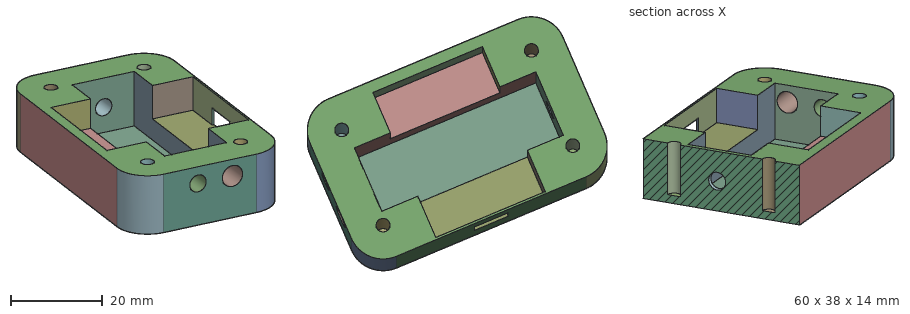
import cadquery as cq

length = 60.0
width = 38.0
height = 14.0
corner_radius = 7.5

screw_diameter = 3.0
screw_depth = 12.0

channel_length = 43.0
channel_width = 15.3
channel_centre_y = 0.9
channel_depth = 13.0

bay_length = 26.0
rear_wall = 0.5
front_wall = 2.5
rear_bay_depth = 8.0
front_bay_depth = 7.0

window_length = 8.0
window_height = 4.0
window_centre_x = 0.0

left_hole_diameter = 4.0
left_hole_y = 1.0
right_hole_diameters = (5.0, 4.0)
right_hole_places_y = (5.5, -3.0)
right_hole_rise = 3.0

mid_height = height / 2
end_wall = (length - channel_length) / 2


def pocket(x_size, y_min, y_max, depth):
    """Box sunk from the top face and centred on X."""
    return (
        cq.Workplane("XY", origin=(0, (y_min + y_max) / 2, height))
        .rect(x_size, y_max - y_min)
        .extrude(-depth)
    )


def end_wall_hole(x_start, y, z, diameter):
    """Cylinder along X spanning one end wall."""
    return cq.Workplane("YZ", origin=(x_start, y, z)).circle(diameter / 2).extrude(end_wall)


result = (
    cq.Workplane("XY")
    .rect(length, width)
    .extrude(height)
    .edges("|Z")
    .fillet(corner_radius)
)

channel_front = channel_centre_y - channel_width / 2
channel_rear = channel_centre_y + channel_width / 2
bay_front = front_wall - width / 2
bay_rear = width / 2 - rear_wall
result = result.cut(pocket(channel_length, channel_front, channel_rear, channel_depth))
result = result.cut(pocket(bay_length, channel_centre_y, bay_rear, rear_bay_depth))
result = result.cut(pocket(bay_length, bay_front, channel_centre_y, front_bay_depth))

screw_holes = (
    cq.Workplane("XY", origin=(0, 0, height))
    .rect(length - 2 * corner_radius, width - 2 * corner_radius, forConstruction=True)
    .vertices()
    .circle(screw_diameter / 2)
    .extrude(-screw_depth)
)
result = result.cut(screw_holes)

window = cq.Workplane("XY").box(window_length, rear_wall, window_height, centered=(True, False, False))
result = result.cut(window.translate((window_centre_x, bay_rear, height - rear_bay_depth)))

result = result.cut(end_wall_hole(-length / 2, left_hole_y, mid_height, left_hole_diameter))
for diameter, y in zip(right_hole_diameters, right_hole_places_y):
    result = result.cut(end_wall_hole(channel_length / 2, y, mid_height + right_hole_rise, diameter))